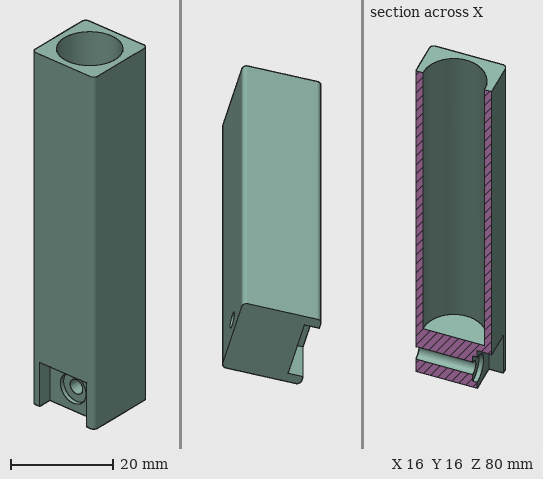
import cadquery as cq

length = 80.0
width = 16.0
corner_radius = 1.0

bore_diameter = 13.0
bore_floor = 12.0

pocket_width = 12.0
pocket_height = 10.0
pocket_depth = 3.0

screw_height = pocket_height / 2
screw_diameter = 3.2
head_diameter = 6.6
head_depth = 1.0


def make_body():
    """Upright square bar with rounded long edges, standing on Z = 0."""
    bar = cq.Workplane("XY").rect(width, width).extrude(length)
    return bar.edges("|Z").fillet(corner_radius)


def cut_bore(body):
    """Round blind bore, open at the top."""
    bore = (
        cq.Workplane("XY", origin=(0, 0, bore_floor))
        .circle(bore_diameter / 2)
        .extrude(length - bore_floor)
    )
    return body.cut(bore)


def cut_pocket(body):
    """Rectangular recess in the -Y face, open at the bottom."""
    pocket = cq.Workplane("XY").box(
        pocket_width, pocket_depth, pocket_height, centered=(True, False, False)
    )
    return body.cut(pocket.translate((0, -width / 2, 0)))


def cut_screw_hole(body):
    """Counterbored hole from the pocket floor through to the +Y face."""
    pocket_floor = cq.Workplane("XZ", origin=(0, pocket_depth - width / 2, screw_height))
    return body.copyWorkplane(pocket_floor).cboreHole(
        screw_diameter, head_diameter, head_depth
    )


result = cut_screw_hole(cut_pocket(cut_bore(make_body())))